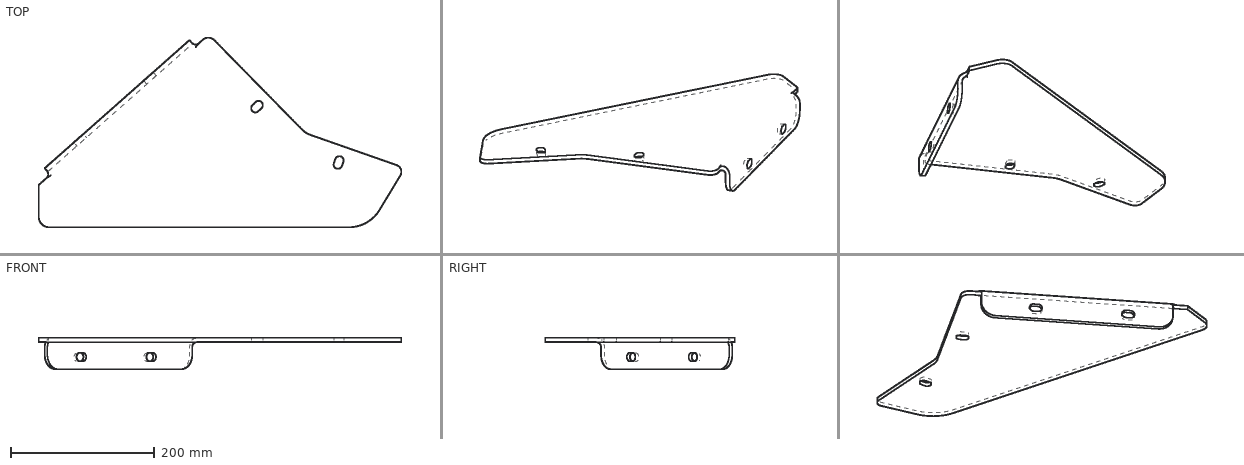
import cadquery as cq
import math

thickness = 6.0
inner_bend_radius = 7.0
outer_bend_radius = inner_bend_radius + thickness
total_height = 44.0

bend_corner = (0, 59.0)
apex_corner = (237.0, 269.0)
knee_corner = (372.0, 131.5)
tip_corner = (511.0, 83.0)
heel_corner = (460.5, 0)
small_radius = 10.0
origin_radius = 15.0
apex_radius = 11.5
knee_radius = 30.5
heel_radius = 50.5

flange_start = 21.5
flange_end = 291.5
bend_inset = 1.25
root_radius = 7.0
flange_corner_radius = 20.0
flange_slot_positions = (85.0, 215.0)
flange_slot_depth = 27.0

slot_width = 11.5
slot_length = 17.5
edge_slot_centers = ((304.5, 168.5), (418.0, 90.5))


def edge_angle(start, end):
    """Direction of an outline edge in degrees."""
    return math.degrees(math.atan2(end[1] - start[1], end[0] - start[0]))


def make_plate():
    """Flat plate with rounded corners."""
    corners = [(0, 0), bend_corner, apex_corner, knee_corner, tip_corner, heel_corner]
    plate = cq.Workplane("XY").polyline(corners).close().extrude(-thickness)
    rounded_corners = (
        ((0, 0), origin_radius),
        (apex_corner, apex_radius),
        (knee_corner, knee_radius),
        (tip_corner, small_radius),
        (heel_corner, heel_radius),
    )
    for corner, radius in rounded_corners:
        nearest = cq.selectors.NearestToPointSelector((*corner, -thickness / 2))
        plate = plate.edges("|Z").edges(nearest).fillet(radius)
    return plate


def cut_edge_slots(plate):
    """Slots standing square to the two upper right edges."""
    edges = ((apex_corner, knee_corner), (knee_corner, tip_corner))
    for center, (start, end) in zip(edge_slot_centers, edges):
        slot = (
            cq.Workplane("XY")
            .center(*center)
            .slot2D(slot_length, slot_width, edge_angle(start, end) + 90)
            .extrude(-thickness)
        )
        plate = plate.cut(slot)
    return plate


def place_on_bend(body):
    """Move a body so that its X axis runs along the bend line, with +Y pointing off the plate."""
    angle = edge_angle(bend_corner, apex_corner)
    return body.translate((0, -bend_inset, 0)).rotate((0, 0, 0), (0, 0, 1), angle).translate((*bend_corner, 0))


def make_flange_outline():
    """Flange and bend seen from above, with ends flaring into the plate edge."""
    outer = outer_bend_radius
    arc_end = bend_inset + root_radius
    flare_mid = root_radius * (1 - math.sqrt(0.5))
    mid_y = bend_inset + flare_mid
    return (
        cq.Workplane("XY")
        .moveTo(flange_start, 0)
        .lineTo(flange_start - root_radius, bend_inset)
        .threePointArc((flange_start - flare_mid, mid_y), (flange_start, arc_end))
        .lineTo(flange_start, outer)
        .lineTo(flange_end, outer)
        .lineTo(flange_end, arc_end)
        .threePointArc((flange_end + flare_mid, mid_y), (flange_end + root_radius, bend_inset))
        .lineTo(flange_end, 0)
        .close()
        .extrude(-total_height)
    )


def make_flange():
    """Bend and flange, built along +X with the flange hanging on the +Y side."""
    diagonal = math.sqrt(0.5)
    bend_drop = outer_bend_radius
    inner_mid = (inner_bend_radius * diagonal, inner_bend_radius * diagonal - bend_drop)
    outer_mid = (outer_bend_radius * diagonal, outer_bend_radius * diagonal - bend_drop)
    flange = (
        cq.Workplane("YZ", origin=(flange_start - root_radius, 0, 0))
        .moveTo(0, 0)
        .threePointArc(outer_mid, (outer_bend_radius, -bend_drop))
        .lineTo(outer_bend_radius, -total_height)
        .lineTo(inner_bend_radius, -total_height)
        .lineTo(inner_bend_radius, -bend_drop)
        .threePointArc(inner_mid, (0, -thickness))
        .close()
        .extrude(flange_end - flange_start + 2 * root_radius)
        .intersect(make_flange_outline())
    )
    flange = flange.faces("<Z").edges("|Y").fillet(flange_corner_radius)
    slots = (
        cq.Workplane("XZ")
        .pushPoints([(position, -flange_slot_depth) for position in flange_slot_positions])
        .slot2D(slot_length, slot_width)
        .extrude(-outer_bend_radius)
    )
    return flange.cut(slots)


flange_outline = place_on_bend(make_flange_outline())
plate = cut_edge_slots(make_plate()).cut(flange_outline)
result = plate.union(place_on_bend(make_flange()))